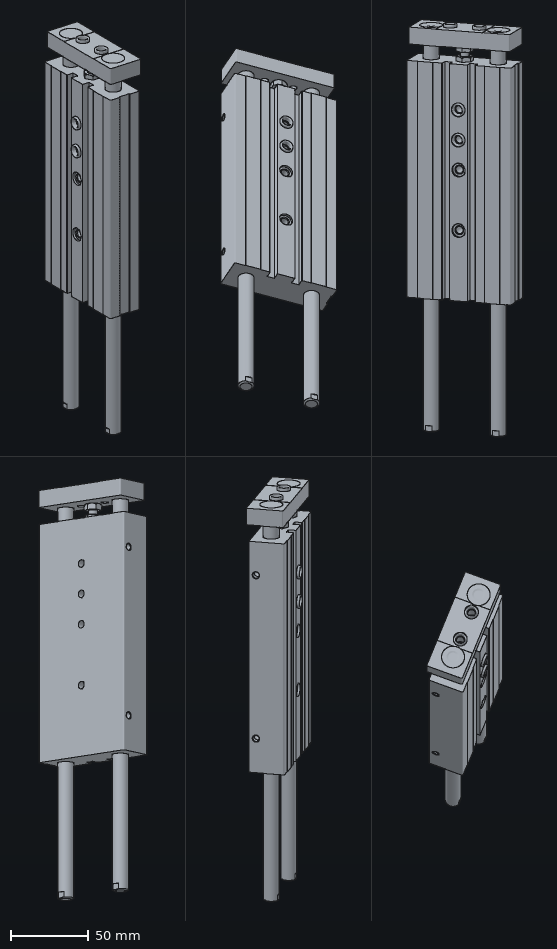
import cadquery as cq
import math


HOUSING_WIDTH = 72.0
HOUSING_DEPTH = 23.8
HOUSING_BOTTOM = -45.5
HOUSING_TOP = 111.5
CORNER_RADIUS = 0.95
FRONT_STEP = 0.3
FRONT_PAD_WIDTH = 10.5
RIB_WIDTH = 12.2
SLOT_OUTER_X = 11.0
SLOT_DEPTH = 5.0
SLOT_CHAMFER = 0.5
SIDE_GROOVE_WIDTH = 7.8
SIDE_GROOVE_DEPTH = 0.8

ROD_SPACING = 46.0
ROD_DIAMETER = 10.5
ROD_BOTTOM = -135.2
ROD_CHAMFER_HEIGHT = 0.8
ROD_CHAMFER_WIDTH = 1.4
ROD_FLAT_WIDTH = 9.5
ROD_FLAT_LENGTH = 4.3
ROD_HEAD_DIAMETER = 15.0
ROD_HEAD_HEIGHT = 2.7
ROD_DISH_DIAMETER = 8.0
ROD_DISH_FLOOR_DIAMETER = 6.0
ROD_DISH_DEPTH = 0.3

PLATE_WIDTH = 69.5
PLATE_FRONT = -10.8
PLATE_BACK = 13.93
PLATE_BOTTOM = 122.0
PLATE_TOP = 133.3
PLATE_RELIEF_WIDTH = 32.0
PLATE_RELIEF_DEPTH = 0.14
PLATE_THREAD_BORE = 5.0
PISTON_ROD_DIAMETER = 6.0
HEX_ACROSS_FLATS = 10.0
HEX_BEVEL_HEIGHT = 0.8
LOCK_NUT_HEIGHT = 4.0
ROD_HEX_HEIGHT = 3.2

SLEEVE_DIAMETER = 9.0
SLEEVE_BORE = 6.0
SLEEVE_SEAT_DEPTH = 1.5
PLATE_SLEEVE_SPACING = 20.0
PLATE_SLEEVE_TOP = 135.2
HOUSING_SLEEVE_FRONT = -13.93
FRONT_HOLE_PITCH = 20.0
FRONT_HOLE_TOP_Z = 81.5
FRONT_HOLE_STEPS = (0, 1, 2, 4)
SLEEVE_STEPS = (0, 1)
FRONT_BORE = 5.0
FRONT_COUNTERSINK = 6.0

PORT_Y = 7.0
PORT_ZS = (88.7, -22.2)
PORT_DIAMETER = 4.0
PORT_MOUTH_DIAMETER = 5.0
PORT_DEPTH = 4.0

HOUSING_HEIGHT = HOUSING_TOP - HOUSING_BOTTOM
FRONT_Y = -HOUSING_DEPTH / 2
PROUD_Y = FRONT_Y - FRONT_STEP
SIDE_X = HOUSING_WIDTH / 2
ROD_XS = (-ROD_SPACING / 2, ROD_SPACING / 2)
PLATE_RELIEF_FLOOR = PLATE_TOP - PLATE_RELIEF_DEPTH
PLATE_SLEEVE_XS = (-PLATE_SLEEVE_SPACING / 2, PLATE_SLEEVE_SPACING / 2)


def cylinder(diameter, bottom, top, x=0.0):
    return cq.Workplane("XY", origin=(x, 0, bottom)).circle(diameter / 2).extrude(top - bottom)


def box(x_min, x_max, y_min, y_max, z_min, z_max):
    size = (x_max - x_min, y_max - y_min, z_max - z_min)
    return cq.Workplane("XY").box(*size, centered=False).translate((x_min, y_min, z_min))


def cone(large_diameter, small_diameter, height, place, direction):
    """Cone frustum that starts with its large end at a place and narrows along a direction."""
    solid = cq.Solid.makeCone(large_diameter / 2, small_diameter / 2, height, place, direction)
    return cq.Workplane(obj=solid)


def front_hole_z(step):
    return FRONT_HOLE_TOP_Z - step * FRONT_HOLE_PITCH


def housing_profile():
    body = box(-SIDE_X, SIDE_X, FRONT_Y, -FRONT_Y, HOUSING_BOTTOM, HOUSING_TOP)
    body = body.edges("|Z").fillet(CORNER_RADIUS)
    proud_strips = [(x, FRONT_PAD_WIDTH) for x in ROD_XS] + [(0.0, RIB_WIDTH)]
    for x, width in proud_strips:
        strip = box(x - width / 2, x + width / 2, PROUD_Y, 0, HOUSING_BOTTOM, HOUSING_TOP)
        body = body.union(strip)
    return body


def sensor_slot(side):
    """Long front slot beside the rib, with a chamfer along its outer lip."""
    inner_x = RIB_WIDTH / 2
    outline = [
        (inner_x, PROUD_Y),
        (SLOT_OUTER_X + SLOT_CHAMFER, PROUD_Y),
        (SLOT_OUTER_X + SLOT_CHAMFER, FRONT_Y),
        (SLOT_OUTER_X, FRONT_Y + SLOT_CHAMFER),
        (SLOT_OUTER_X, FRONT_Y + SLOT_DEPTH),
        (inner_x, FRONT_Y + SLOT_DEPTH),
    ]
    outline = [(side * x, y) for x, y in outline]
    return cq.Workplane("XY", origin=(0, 0, HOUSING_BOTTOM)).polyline(outline).close().extrude(HOUSING_HEIGHT)


def front_hole(z):
    """Through hole with a countersunk mouth at the bottom of a sleeve seat."""
    floor_y = PROUD_Y + SLEEVE_SEAT_DEPTH
    sink_depth = (FRONT_COUNTERSINK - FRONT_BORE) / 2
    backward = cq.Vector(0, 1, 0)
    seat = cq.Workplane("XZ", origin=(0, PROUD_Y, z)).circle(SLEEVE_DIAMETER / 2).extrude(-SLEEVE_SEAT_DEPTH)
    bore = cq.Workplane("XZ", origin=(0, PROUD_Y, z)).circle(FRONT_BORE / 2).extrude(PROUD_Y + FRONT_Y)
    sink = cone(FRONT_COUNTERSINK, FRONT_BORE, sink_depth, cq.Vector(0, floor_y, z), backward)
    return seat.union(bore).union(sink)


def air_port(z):
    """Blind drilled port with a countersunk mouth and a drill-point end."""
    inward = cq.Vector(1, 0, 0)
    sink_depth = (PORT_MOUTH_DIAMETER - PORT_DIAMETER) / 2
    drill = cq.Workplane("YZ", origin=(-SIDE_X, PORT_Y, z)).circle(PORT_DIAMETER / 2).extrude(PORT_DEPTH)
    sink = cone(PORT_MOUTH_DIAMETER, PORT_DIAMETER, sink_depth, cq.Vector(-SIDE_X, PORT_Y, z), inward)
    point_start = cq.Vector(-SIDE_X + PORT_DEPTH, PORT_Y, z)
    point = cone(PORT_DIAMETER, 0, PORT_DIAMETER / 2, point_start, inward)
    return drill.union(sink).union(point)


def make_housing():
    body = housing_profile()
    for side in (-1, 1):
        body = body.cut(sensor_slot(side))
    half_groove = SIDE_GROOVE_WIDTH / 2
    groove_floor = SIDE_X - SIDE_GROOVE_DEPTH
    body = body.cut(box(groove_floor, SIDE_X, -half_groove, half_groove, HOUSING_BOTTOM, HOUSING_TOP))
    for x in ROD_XS:
        body = body.cut(cylinder(ROD_DIAMETER, HOUSING_BOTTOM, HOUSING_TOP, x))
    for step in FRONT_HOLE_STEPS:
        body = body.cut(front_hole(front_hole_z(step)))
    for z in PORT_ZS:
        body = body.cut(air_port(z))
    return body


def hexagon(bottom, height):
    """Hexagon with its flats facing +X and -X and its upper corners bevelled."""
    top = bottom + height
    corner_radius = HEX_ACROSS_FLATS / math.sqrt(3)
    corner_angles = [math.radians(30 + 60 * i) for i in range(6)]
    corners = [(corner_radius * math.cos(a), corner_radius * math.sin(a)) for a in corner_angles]
    prism = cq.Workplane("XY", origin=(0, 0, bottom)).polyline(corners).close().extrude(height)
    bevelled = cylinder(2 * corner_radius, bottom, top).faces(">Z").chamfer(
        HEX_BEVEL_HEIGHT, corner_radius - HEX_ACROSS_FLATS / 2
    )
    return prism.intersect(bevelled)


def make_yoke():
    """End plate with the piston rod, its lock nut and its hexagon."""
    half_width = PLATE_WIDTH / 2
    half_relief = PLATE_RELIEF_WIDTH / 2
    yoke = box(-half_width, half_width, PLATE_FRONT, PLATE_BACK, PLATE_BOTTOM, PLATE_TOP)
    yoke = yoke.edges("|Z").fillet(CORNER_RADIUS)
    yoke = yoke.cut(
        box(-half_relief, half_relief, PLATE_FRONT, PLATE_BACK, PLATE_RELIEF_FLOOR, PLATE_TOP)
    )
    for x in PLATE_SLEEVE_XS:
        yoke = yoke.cut(cylinder(PLATE_THREAD_BORE, PLATE_BOTTOM, PLATE_TOP, x))
        yoke = yoke.cut(cylinder(SLEEVE_DIAMETER, PLATE_RELIEF_FLOOR - SLEEVE_SEAT_DEPTH, PLATE_TOP, x))
    for x in ROD_XS:
        yoke = yoke.cut(cylinder(ROD_DIAMETER, PLATE_BOTTOM, PLATE_TOP, x))
        yoke = yoke.cut(cylinder(ROD_HEAD_DIAMETER, PLATE_TOP - ROD_HEAD_HEIGHT, PLATE_TOP, x))
    yoke = yoke.union(cylinder(PISTON_ROD_DIAMETER, HOUSING_TOP, PLATE_BOTTOM))
    yoke = yoke.union(hexagon(PLATE_BOTTOM - LOCK_NUT_HEIGHT, LOCK_NUT_HEIGHT))
    return yoke.union(hexagon(HOUSING_TOP, ROD_HEX_HEIGHT))


def make_guide_rod(x):
    """Guide rod with a dished head flush in the plate and wrench flats at the lower end."""
    rod = cylinder(ROD_DIAMETER, ROD_BOTTOM, PLATE_TOP).faces("<Z").chamfer(ROD_CHAMFER_HEIGHT, ROD_CHAMFER_WIDTH)
    rod = rod.union(cylinder(ROD_HEAD_DIAMETER, PLATE_TOP - ROD_HEAD_HEIGHT, PLATE_TOP))
    dish_centre = cq.Vector(0, 0, PLATE_TOP)
    downward = cq.Vector(0, 0, -1)
    rod = rod.cut(cone(ROD_DISH_DIAMETER, ROD_DISH_FLOOR_DIAMETER, ROD_DISH_DEPTH, dish_centre, downward))
    flat_top = ROD_BOTTOM + ROD_FLAT_LENGTH
    for side in (-1, 1):
        near_y, far_y = sorted((side * ROD_FLAT_WIDTH / 2, side * ROD_DIAMETER))
        rod = rod.cut(box(-ROD_DIAMETER, ROD_DIAMETER, near_y, far_y, ROD_BOTTOM, flat_top))
    return rod.translate((x, 0, 0))


def make_sleeve(length):
    """Centring sleeve standing on the XY plane, its upper rim fully rounded."""
    outer = SLEEVE_DIAMETER / 2
    inner = SLEEVE_BORE / 2
    rim_radius = (outer - inner) / 2
    shoulder = length - rim_radius
    half_section = (
        cq.Workplane("XZ")
        .moveTo(inner, 0)
        .lineTo(outer, 0)
        .lineTo(outer, shoulder)
        .threePointArc((inner + rim_radius, length), (inner, shoulder))
        .close()
    )
    return half_section.revolve(360, (0, 0), (0, 1))


def make_plate_sleeve(x):
    seat_z = PLATE_RELIEF_FLOOR - SLEEVE_SEAT_DEPTH
    return make_sleeve(PLATE_SLEEVE_TOP - seat_z).translate((x, 0, seat_z))


def make_housing_sleeve(z):
    seat_y = PROUD_Y + SLEEVE_SEAT_DEPTH
    sleeve = make_sleeve(seat_y - HOUSING_SLEEVE_FRONT).rotate((0, 0, 0), (1, 0, 0), 90)
    return sleeve.translate((0, seat_y, z))


housing = make_housing()
yoke = make_yoke()
guide_rods = [make_guide_rod(x) for x in ROD_XS]
plate_sleeves = [make_plate_sleeve(x) for x in PLATE_SLEEVE_XS]
housing_sleeves = [make_housing_sleeve(front_hole_z(step)) for step in SLEEVE_STEPS]

bodies = [housing, yoke, *guide_rods, *plate_sleeves, *housing_sleeves]
result = cq.Compound.makeCompound([body.val() for body in bodies])